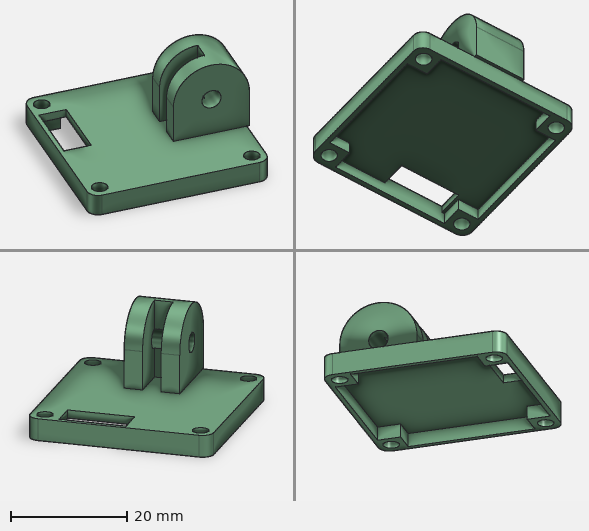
import cadquery as cq

plate_size = 33.0
plate_thickness = 4.0
corner_radius = 2.0
screw_diameter = 2.8
screw_inset = 2.5

window_length = 12.03
window_width = 5.0
window_left = 5.55
window_front = 0.87

roof_thickness = 1.5
rim_thickness = window_front
post_size = 2 * screw_inset

lug_width = 10.0
lug_radius = 7.0
lug_overhang = 0.5
slot_width = 3.35
pin_diameter = 3.5

center_x = plate_size / 2
axis_y = plate_size + lug_overhang - lug_radius
axis_z = plate_thickness + lug_radius


def make_underside_pocket():
    depth = plate_thickness - roof_thickness
    inner_size = plate_size - 2 * rim_thickness
    between_posts = plate_size - 2 * post_size
    middle = cq.Workplane("XY").center(center_x, center_x)
    lengthwise = middle.rect(inner_size, between_posts).extrude(depth)
    crosswise = middle.rect(between_posts, inner_size).extrude(depth)
    return lengthwise.union(crosswise)


def make_plate():
    plate = cq.Workplane("XY").box(plate_size, plate_size, plate_thickness, centered=False)
    plate = plate.edges("|Z").fillet(corner_radius)
    screw_spacing = plate_size - 2 * screw_inset
    screws = (
        cq.Workplane("XY")
        .center(center_x, center_x)
        .rect(screw_spacing, screw_spacing, forConstruction=True)
        .vertices()
        .circle(screw_diameter / 2)
        .extrude(plate_thickness)
    )
    window = (
        cq.Workplane("XY")
        .box(window_length, window_width, plate_thickness, centered=False)
        .translate((window_left, window_front, 0))
    )
    return plate.cut(screws).cut(window).cut(make_underside_pocket())


def make_lug():
    lug = (
        cq.Workplane("YZ", origin=(center_x - lug_width / 2, 0, 0))
        .moveTo(axis_y - lug_radius, plate_thickness)
        .lineTo(axis_y - lug_radius, axis_z)
        .threePointArc((axis_y, axis_z + lug_radius), (axis_y + lug_radius, axis_z))
        .lineTo(axis_y + lug_radius, plate_thickness)
        .close()
        .extrude(lug_width)
    )
    slot = (
        cq.Workplane("XY")
        .box(slot_width, lug_radius, 2 * lug_radius, centered=(True, False, False))
        .translate((center_x, axis_y - lug_radius, plate_thickness))
    )
    pin_hole = (
        cq.Workplane("YZ", origin=(center_x - lug_width / 2, axis_y, axis_z))
        .circle(pin_diameter / 2)
        .extrude(lug_width)
    )
    return lug.cut(slot).cut(pin_hole)


result = make_plate().union(make_lug())